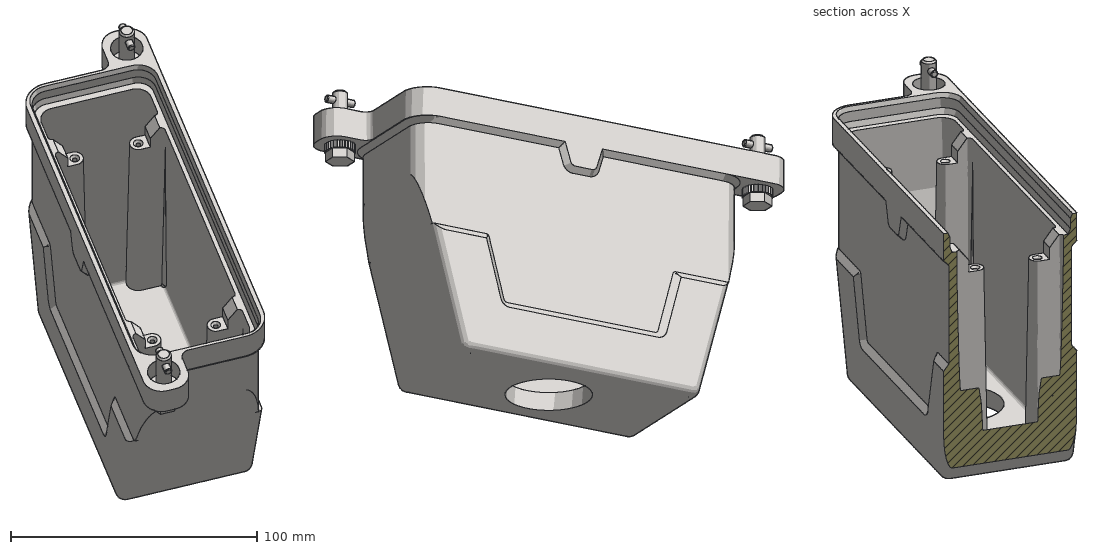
import cadquery as cq
import math

length = 193.0
width = 58.0
rim_top = 111.2
flange_bottom = 98.8

flange_length = 156.0
flange_radius = 11.0
neck_drop = 2.3
ear_height = 19.0
ear_radius = 7.7
ear_blend = 3.9

body_length = 150.5
body_width = width - 2 * neck_drop
body_radius = 9.0
taper_top = 75.7
base_half_length = 54.6
edge_radius = 4.0

pad_depth = neck_drop
pad_slope_run = 2.9
pad_top = 50.0
pad_notch_floor = 21.8
pad_notch_top_half = 45.4
pad_notch_floor_half = 37.8
pad_corner_radius = 1.5

tab_top_half = 8.7
tab_bottom_half = 5.6
tab_bottom = 89.0
tab_corner_radius = 2.3
tab_root = 102.3
tab_side_slope = 45.0

recess_length = 153.2
recess_width = 54.2
recess_radius = 8.5
recess_step = 1.0
lead_in_bottom = 109.2
recess_wall_bottom = 104.8
ledge_height = 102.3

cavity_length = 143.5
cavity_width = 46.7
cavity_radius = 6.2
cavity_step = 1.5
cavity_floor = 7.7
end_wall = 4.0
floor_radius = 2.0
cable_hole_radius = 17.8

post_x = 52.0
post_y = 13.5
post_top = 91.9
post_radius = 3.5
post_growth = 1.5
post_flare = 2.0
rib_slope_start = 21.6
rib_front = 17.5
rib_front_top = 97.0
screw_radius = 1.0
screw_depth = 11.5
screw_countersink = 2.0

pin_x = 86.3
pin_radius = 3.0
pin_top = 122.0
pin_chamfer = 0.8
cross_pin_radius = 1.5
cross_pin_length = 13.0
cross_pin_height = 118.0
cross_pin_chamfer = 0.4
ear_hole_radius = 6.5
ear_hole_floor = 102.3
knurl_radius = 6.4
knurl_depth = 0.48
knurl_teeth = 28
knurl_bottom = 95.7
hex_flats = 10.2
hex_bottom = 91.7

pin_y = width / 2 - ear_height / 2
taper_slope = (body_length / 2 - base_half_length) / taper_top


def rounded_block(size_x, size_y, radius, bottom, top, growth=0):
    """Upright block with rounded corners; growth widens every side from bottom to top."""
    angle = -math.degrees(math.atan2(growth, top - bottom))
    outline = cq.Sketch().rect(size_x, size_y).vertices().fillet(radius)
    plane = cq.Workplane("XY").workplane(offset=bottom)
    return plane.placeSketch(outline).extrude(top - bottom, taper=angle)


def hopper(half_profile, size_y):
    """Symmetric block from (half length, height) pairs, its end corners still sharp."""
    other_half = [(-x, z) for x, z in reversed(half_profile)]
    outline = cq.Workplane("XZ").polyline(half_profile + other_half).close()
    return outline.extrude(size_y / 2, both=True)


def both_sides(solid):
    """The solid together with its mirror image across the XZ plane."""
    return solid.union(solid.mirror("XZ"))


def make_pad_notch():
    """Material taken off the wide base so that only the pads stay proud of the body."""
    run = pad_slope_run
    lean = math.atan2(pad_notch_top_half - pad_notch_floor_half, pad_top - pad_notch_floor)
    side_shift = run * math.tan((math.pi / 2 - lean) / 2)
    shoulder = (pad_notch_top_half - side_shift, pad_top + run)
    foot = (pad_notch_floor_half - side_shift, pad_notch_floor + run)
    half = [(length / 2, taper_top), (length / 2, pad_top + run), shoulder, foot]
    points = half + [(-x, z) for x, z in reversed(half)]
    outline = cq.Sketch().polygon(points + points[:1]).vertices().fillet(pad_corner_radius)
    angle = -math.degrees(math.atan2(run, pad_depth))
    plane = cq.Workplane("XZ", origin=(0, -body_width / 2, 0))
    return both_sides(plane.placeSketch(outline).extrude(pad_depth, taper=angle))


def make_body():
    pad_limit = pad_top + pad_slope_run
    taper = [
        (base_half_length, 0),
        (body_length / 2, taper_top),
        (body_length / 2, flange_bottom),
    ]
    upper = rounded_block(body_length, body_width, body_radius, pad_limit, flange_bottom)
    upper = upper.intersect(hopper(taper, width))
    base_half_top = base_half_length + taper_slope * pad_limit
    base = hopper([(base_half_length, 0), (base_half_top, pad_limit)], width)
    base = base.edges("not #Z").fillet(edge_radius)
    base = base.faces("<Z").edges().fillet(edge_radius)
    return base.cut(make_pad_notch()).union(upper)


def make_tabs():
    """Sloping tabs that hang from the flange on both long sides."""
    half = [(tab_top_half, tab_root), (tab_top_half, flange_bottom), (tab_bottom_half, tab_bottom)]
    points = half + [(-x, z) for x, z in reversed(half)]
    outline = cq.Sketch().polygon(points + points[:1]).vertices("<Y").fillet(tab_corner_radius)
    angle = -tab_side_slope
    plane = cq.Workplane("XZ", origin=(0, -width / 2, 0))
    return both_sides(plane.placeSketch(outline).extrude(-pad_depth, taper=angle))


def make_flange():
    """Rim flange with an ear at two opposite corners and a 45 degree neck below."""
    height = rim_top - flange_bottom
    flange = rounded_block(flange_length, width, flange_radius, flange_bottom, rim_top)
    for turn in (0, 180):
        ear = cq.Workplane("XY").box(length / 2, ear_height, height, centered=(False, True, False))
        ear = ear.edges("|Z and <X").fillet(ear_radius)
        ear = ear.translate((-length / 2, pin_y, flange_bottom))
        flange = flange.union(ear.rotate((0, 0, 0), (0, 0, 1), turn))
    for side in (-1, 1):
        inner_corner = (
            side * flange_length / 2,
            side * (ear_height - width / 2),
            flange_bottom + height / 2,
        )
        flange = flange.edges(cq.selectors.NearestToPointSelector(inner_corner)).fillet(ear_blend)
    neck_bottom = flange_bottom - neck_drop
    neck = rounded_block(body_length, body_width, body_radius, neck_bottom, flange_bottom, neck_drop)
    return flange.union(neck)


def make_rim_recess():
    def recess_part(inset, bottom, top, growth=0):
        radius = recess_radius - inset
        return rounded_block(
            recess_length - 2 * inset, recess_width - 2 * inset, radius, bottom, top, growth
        )

    wall = recess_part(recess_step, recess_wall_bottom, rim_top)
    lead_in = recess_part(recess_step, lead_in_bottom, rim_top, recess_step)
    lower = recess_part(2 * recess_step, ledge_height, recess_wall_bottom, recess_step)
    return wall.union(lead_in).union(lower)


def make_post():
    """Screw post with its sloping rib, for the corner toward +X and +Y."""
    half = post_radius
    wall = cavity_width / 2 - post_y
    outline = (
        cq.Sketch()
        .arc((-half, 0), (0, -half), (half, 0))
        .segment((half, wall - post_flare))
        .arc((half + post_flare, wall - post_flare), post_flare, 180, -90)
        .segment((half + post_flare, wall + post_flare))
        .segment((-half - post_flare, wall + post_flare))
        .segment((-half - post_flare, wall))
        .arc((-half - post_flare, wall - post_flare), post_flare, 90, -90)
        .close()
        .assemble()
    )
    plane = cq.Workplane("XY", origin=(post_x, post_y, post_top))
    draft = math.degrees(math.atan2(post_growth, post_top - cavity_floor))
    shaft = plane.placeSketch(outline).extrude(cavity_floor - post_top, taper=-draft)
    rib_side = [
        (rib_front, post_top),
        (rib_front, rib_front_top),
        (rib_slope_start, ledge_height),
        (width / 2, ledge_height),
        (width / 2, post_top),
    ]
    rib_limit = cq.Workplane("YZ").polyline(rib_side).close().extrude(length / 2)
    rib = plane.placeSketch(outline).extrude(ledge_height - post_top).intersect(rib_limit)
    screw_hole = plane.circle(screw_radius).extrude(-screw_depth)
    countersink = cq.Solid.makeCone(
        screw_radius,
        screw_countersink,
        screw_countersink - screw_radius,
        pnt=(post_x, post_y, post_top - screw_countersink + screw_radius),
    )
    return shaft.union(rib).cut(screw_hole).cut(cq.Workplane(countersink))


def make_cavity():
    """Space inside the hood, with the four screw posts left standing."""
    floor_half = base_half_length - end_wall + taper_slope * cavity_floor
    break_half = cavity_length / 2 - cavity_step
    break_height = cavity_floor + (break_half - floor_half) / taper_slope
    profile = [
        (floor_half, cavity_floor),
        (break_half, break_height),
        (cavity_length / 2, ledge_height),
    ]
    space = hopper(profile, cavity_width).edges("not #Z").fillet(cavity_radius)
    space = space.faces("<Z").edges().fillet(floor_radius)
    post = make_post()
    post_pair = post.union(post.mirror("YZ"))
    return space.cut(both_sides(post_pair))


def make_pin():
    """Locking pin on the Z axis: knurled collar and hex head below, cross pin near the tip."""
    stem = cq.Workplane("XY").workplane(offset=hex_bottom).circle(pin_radius).extrude(pin_top - hex_bottom)
    stem = stem.faces(">Z").chamfer(pin_chamfer)
    cross = cq.Workplane("YZ", origin=(0, 0, cross_pin_height)).circle(cross_pin_radius)
    cross = cross.extrude(cross_pin_length / 2, both=True).faces("|X").chamfer(cross_pin_chamfer)
    corner_to_corner = hex_flats / math.cos(math.pi / 6)
    head = cq.Workplane("XY").polygon(6, corner_to_corner).extrude(knurl_bottom - hex_bottom)
    head = head.rotate((0, 0, 0), (0, 0, 1), 90).translate((0, 0, hex_bottom))
    ridges = []
    for step in range(2 * knurl_teeth):
        radius = knurl_radius - knurl_depth * (step % 2)
        angle = math.pi * step / knurl_teeth
        ridges.append((radius * math.cos(angle), radius * math.sin(angle)))
    collar = cq.Workplane("XY").workplane(offset=knurl_bottom).polyline(ridges).close()
    collar = collar.extrude(flange_bottom - knurl_bottom)
    return stem.union(cross).union(head).union(collar)


def make_hood():
    hood = make_body().union(make_flange()).union(make_tabs())
    hood = hood.cut(make_rim_recess()).cut(make_cavity())
    cable_hole = cq.Workplane("XY").circle(cable_hole_radius).extrude(2 * cavity_floor)
    hood = hood.cut(cable_hole)
    for x, y in ((-pin_x, pin_y), (pin_x, -pin_y)):
        ear_hole = cq.Workplane("XY", origin=(x, y, ear_hole_floor)).circle(ear_hole_radius)
        hood = hood.cut(ear_hole.extrude(rim_top - ear_hole_floor))
        hood = hood.union(make_pin().translate((x, y, 0)))
    return hood


result = make_hood()